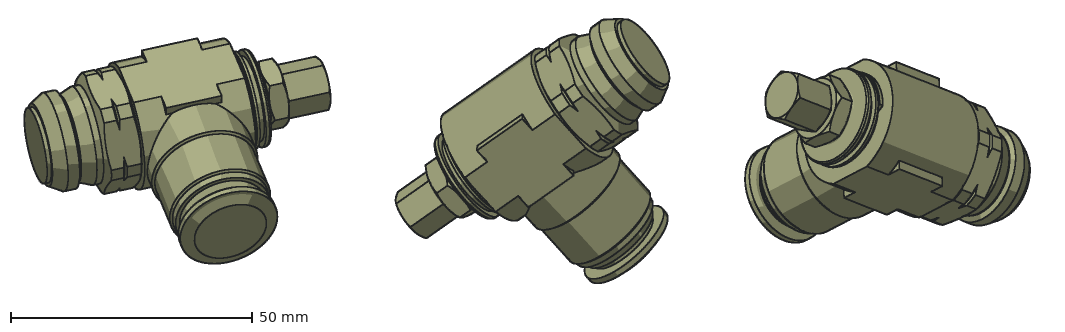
import cadquery as cq
import math


body_radius = 13.5
body_start = 19.5
body_end = 43.6
body_mid = (body_start + body_end) / 2
flat_spacing = 25.0
body_tilt = 2.2
pad_width = 17.0
pad_length = 12.05

tip_radius = 8.05
tip_end = 0.95
nose_radius = 8.8
nose_end = 3.8
thread_radius = 10.5
groove_start = 6.3
groove_bottom_start = 6.9
groove_bottom_end = 7.05
groove_radius = 9.3
cone_end = 10.05
collar_end = 11.5

nut_flats = 23.9
nut_round_radius = 13.0
nut_bottom_round = 12.45
nut_top_round = 18.9
nut_top_radius = 11.55
nut_vee_place = 15.5
nut_vee_radius = 12.3
nut_vee_half_width = 0.4

ring_end = 44.55
ring_inner_radius = 9.05
ring_end_drop = 0.95
flange_radius = 10.4
flange_edge = 0.25
lower_flange_edge_end = 44.9
lower_flange_end = 45.5
upper_flange_start = 46.8
upper_flange_edge_start = 47.55
upper_flange_end = 48.0

neck_radius = 6.25
neck_waist_radius = 6.0
neck_foot_radius = 6.5
neck_waist_place = 48.55
lock_nut_start = 49.05
lock_nut_end = 53.05
lock_nut_flats = 13.05
lock_nut_edge = 0.55
knob_end = 62.5
knob_flats = 10.0
knob_edge = 0.4
knob_turn = 24.4

sleeve_radius = 11.5
sleeve_end = 16.55
barrel_start = 16.95
barrel_radius = 10.95
barrel_end = 27.3
step_start = 27.7
step_start_radius = 10.45
step_end = 29.05
step_end_radius = 10.2
shoulder_start_radius = 9.3
shoulder_end = 30.75
shoulder_end_radius = 8.8
release_neck_radius = 7.95
release_neck_end = 31.9
release_back_radius = 8.9
release_rim_radius = 10.55
release_rim_start = 32.1
release_rim_end = 33.5
release_bevel_place = 33.7
release_bevel_radius = 9.95
release_end = 34.6
release_end_radius = 7.8


def turned_about_y(profile):
    """Solid of revolution about Y from (radius, place) points, closed along the axis."""
    points = [(0, profile[0][1])] + profile + [(0, profile[-1][1])]
    return cq.Workplane("XY").polyline(points).close().revolve(360, (0, 0, 0), (0, 1, 0))


def turned_about_x(profile):
    """Solid of revolution about X from (place, radius) points, closed along the axis."""
    points = [(profile[0][0], 0)] + profile + [(profile[-1][0], 0)]
    return cq.Workplane("XY").polyline(points).close().revolve(360, (0, 0, 0), (1, 0, 0))


def tilted(shape):
    return shape.rotate((0, 0, 0), (0, 1, 0), body_tilt)


def hex_bar(across_flats, start, end, turn=0):
    """Hexagonal bar along Y with two corners on the X axis, turned from +X toward +Z."""
    corner_diameter = across_flats / math.cos(math.pi / 6)
    bar = cq.Workplane("XZ", origin=(0, start, 0)).polygon(6, corner_diameter).extrude(start - end)
    return bar.rotate((0, 0, 0), (0, 1, 0), -turn)


def chamfered_hex(across_flats, start, end, edge, turn=0):
    """Hexagonal bar whose corners are turned down to the flats at both ends."""
    flat_radius = across_flats / 2
    corner_radius = flat_radius / math.cos(math.pi / 6)
    envelope = turned_about_y([
        (flat_radius, start),
        (corner_radius, start + edge),
        (corner_radius, end - edge),
        (flat_radius, end),
    ])
    return hex_bar(across_flats, start, end, turn).intersect(envelope)


def make_body():
    length = body_end - body_start
    barrel = turned_about_y([(body_radius, body_start), (body_radius, body_end)])
    flats = cq.Workplane("XY").box(2 * body_radius, length, flat_spacing)
    barrel = barrel.intersect(tilted(flats.translate((0, body_mid, 0))))
    pads = cq.Workplane("XY").box(pad_width, pad_length, flat_spacing)
    return barrel.union(tilted(pads.translate((0, body_mid, 0))))


def make_branch():
    branch = turned_about_x([
        (0, sleeve_radius),
        (sleeve_end, sleeve_radius),
        (barrel_start, barrel_radius),
        (barrel_end, barrel_radius),
        (step_start, step_start_radius),
        (step_end, step_end_radius),
        (step_end, shoulder_start_radius),
        (shoulder_end, shoulder_end_radius),
        (shoulder_end, release_neck_radius),
        (release_neck_end, release_neck_radius),
        (release_neck_end, release_back_radius),
        (release_rim_start, release_rim_radius),
        (release_rim_end, release_rim_radius),
        (release_bevel_place, release_bevel_radius),
        (release_end, release_end_radius),
    ])
    return tilted(branch.translate((0, body_mid, 0)))


def make_threaded_end():
    return turned_about_y([
        (tip_radius, 0),
        (tip_radius, tip_end),
        (nose_radius, tip_end),
        (thread_radius, nose_end),
        (thread_radius, groove_start),
        (groove_radius, groove_bottom_start),
        (groove_radius, groove_bottom_end),
        (thread_radius, cone_end),
        (thread_radius, collar_end),
    ])


def make_nut():
    """Hexagon with rounded corners, bevelled ends and a V groove around the corners."""
    envelope = turned_about_y([
        (thread_radius, collar_end),
        (nut_round_radius, nut_bottom_round),
        (nut_round_radius, nut_vee_place - nut_vee_half_width),
        (nut_vee_radius, nut_vee_place),
        (nut_round_radius, nut_vee_place + nut_vee_half_width),
        (nut_round_radius, nut_top_round),
        (nut_top_radius, body_start),
    ])
    return hex_bar(nut_flats, collar_end, body_start).intersect(envelope)


def make_stop_ring():
    """Step above the body, full radius on its upper half with sloped ends."""
    height = ring_end - body_end
    core = turned_about_y([(ring_inner_radius, body_end), (ring_inner_radius, ring_end)])
    ring = turned_about_y([(thread_radius, body_end), (thread_radius, ring_end)])
    upper_half = (
        cq.Workplane("XZ", origin=(0, body_end, 0))
        .polyline([
            (-thread_radius, 0),
            (-ring_inner_radius, -ring_end_drop),
            (ring_inner_radius, -ring_end_drop),
            (thread_radius, 0),
            (thread_radius, thread_radius),
            (-thread_radius, thread_radius),
        ])
        .close()
        .extrude(-height)
    )
    return core.union(ring.intersect(upper_half))


def make_flanges():
    return turned_about_y([
        (flange_radius - flange_edge, ring_end),
        (flange_radius, lower_flange_edge_end),
        (flange_radius, lower_flange_end),
        (ring_inner_radius, lower_flange_end),
        (ring_inner_radius, upper_flange_start),
        (flange_radius, upper_flange_start),
        (flange_radius, upper_flange_edge_start),
        (flange_radius - flange_edge, upper_flange_end),
    ])


def make_neck():
    """Short waisted neck between the upper flange and the lock nut."""
    return (
        cq.Workplane("XY")
        .moveTo(0, upper_flange_end)
        .lineTo(neck_foot_radius, upper_flange_end)
        .threePointArc((neck_waist_radius, neck_waist_place), (neck_radius, lock_nut_start))
        .lineTo(0, lock_nut_start)
        .close()
        .revolve(360, (0, 0, 0), (0, 1, 0))
    )


lock_nut = chamfered_hex(lock_nut_flats, lock_nut_start, lock_nut_end, lock_nut_edge)
knob = chamfered_hex(knob_flats, lock_nut_end, knob_end, knob_edge, knob_turn)

result = (
    make_body()
    .union(make_branch())
    .union(make_threaded_end())
    .union(make_nut())
    .union(make_stop_ring())
    .union(make_flanges())
    .union(make_neck())
    .union(lock_nut)
    .union(knob)
)